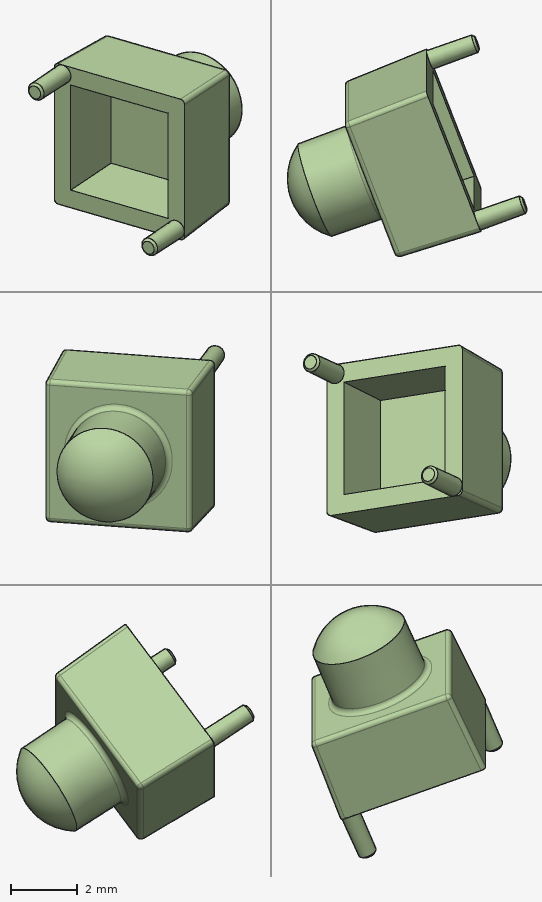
import cadquery as cq
import math

total_length = 6.73
pin_length = 1.515
housing_depth = 2.68
dome_height = 0.775
draft_angle = 2.0

housing_width = 4.7
edge_radius = 0.15

cavity_width = 3.51
cavity_depth = 2.085

barrel_base_radius = 1.5
barrel_top_radius = 1.48
root_fillet = 0.17

pin_offset = 2.045
pin_base_radius = 0.295
pin_tip_radius = 0.28
pin_chamfer = 0.075

barrel_top = total_length - pin_length - dome_height
dome_tip = total_length - pin_length


def drafted_block(width, depth):
    """Square block from Y = 0 towards +Y, narrowing by the draft angle."""
    plane = cq.Plane(origin=(0, 0, 0), xDir=(1, 0, 0), normal=(0, 1, 0))
    return cq.Workplane(plane).rect(width, width).extrude(depth, taper=draft_angle)


def make_housing():
    block = drafted_block(housing_width, housing_depth)
    block = block.edges("not #Y").fillet(edge_radius)
    block = block.faces(">Y").edges().fillet(edge_radius)
    return block.cut(drafted_block(cavity_width, cavity_depth))


def make_lens():
    """Barrel, concave root fillet and cap, revolved about Y."""
    sphere_radius = (barrel_top_radius**2 + dome_height**2) / (2 * dome_height)
    half_angle = math.asin(barrel_top_radius / sphere_radius) / 2
    sphere_center = dome_tip - sphere_radius
    cap_middle = (
        sphere_radius * math.sin(half_angle),
        sphere_center + sphere_radius * math.cos(half_angle),
    )
    fillet_middle = root_fillet * (1 - math.sqrt(0.5))
    return (
        cq.Workplane("XY")
        .moveTo(0, housing_depth)
        .lineTo(barrel_base_radius + root_fillet, housing_depth)
        .threePointArc(
            (barrel_base_radius + fillet_middle, housing_depth + fillet_middle),
            (barrel_base_radius, housing_depth + root_fillet),
        )
        .lineTo(barrel_top_radius, barrel_top)
        .threePointArc(cap_middle, (0, dome_tip))
        .close()
        .revolve(360, (0, 0, 0), (0, 1, 0))
    )


def make_pin(x, z):
    """Tapered pin with a chamfered tip, pointing along -Y."""
    return (
        cq.Workplane("XY")
        .lineTo(pin_base_radius, 0)
        .lineTo(pin_tip_radius, pin_chamfer - pin_length)
        .lineTo(pin_tip_radius - pin_chamfer, -pin_length)
        .lineTo(0, -pin_length)
        .close()
        .revolve(360, (0, 0, 0), (0, 1, 0))
        .translate((x, 0, z))
    )


result = make_housing().union(make_lens())
for side in (-1, 1):
    result = result.union(make_pin(side * pin_offset, -side * pin_offset))

result = result.translate((0, pin_length - total_length / 2, 0))